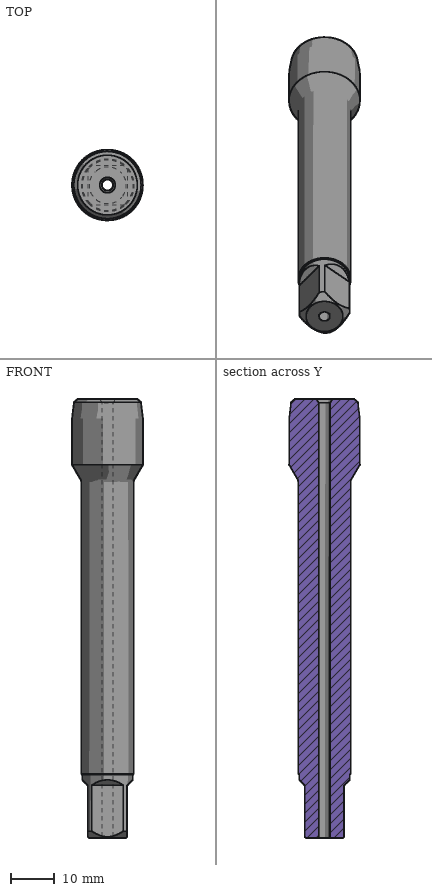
import cadquery as cq
import math

total_length = 100.0
head_diameter = 16.19
shaft_diameter = 12.0

top_face_diameter = 13.6
top_bevel_height = 0.7
taper_top_diameter = 15.3
taper_depth = 4.4
barrel_bottom_depth = 15.0
neck_depth = 18.6
neck_fillet = 1.0

drive_width = 9.0
drive_corner_diameter = 11.52
drive_flat_count = 4
drive_flat_length = 12.0
corner_round_height = 14.4
shoulder_angle = 45.0
tip_diameter = 8.4
tip_chamfer_angle = 45.0

bore_diameter = 2.5
countersink_diameter = 3.55
countersink_angle = 60.0

head_radius = head_diameter / 2
shaft_radius = shaft_diameter / 2
corner_radius = drive_corner_diameter / 2
tip_radius = tip_diameter / 2


def turned_body():
    """Head, shaft and drive blank as one revolved profile of (radius, height) points."""
    tip_chamfer_height = (corner_radius - tip_radius) / math.tan(math.radians(tip_chamfer_angle))
    shaft_bottom = corner_round_height + shaft_radius - corner_radius
    profile = (
        cq.Workplane("XZ")
        .moveTo(0, 0)
        .lineTo(tip_radius, 0)
        .lineTo(corner_radius, tip_chamfer_height)
        .lineTo(corner_radius, corner_round_height)
        .lineTo(shaft_radius, shaft_bottom)
        .lineTo(shaft_radius, total_length - neck_depth)
        .lineTo(head_radius, total_length - barrel_bottom_depth)
        .lineTo(head_radius, total_length - taper_depth)
        .lineTo(taper_top_diameter / 2, total_length - top_bevel_height)
        .lineTo(top_face_diameter / 2, total_length)
        .lineTo(0, total_length)
        .close()
    )
    body = profile.revolve(360, (0, 0, 0), (0, 1, 0))
    neck_edge = cq.selectors.BoxSelector(
        (-head_radius, -head_radius, total_length - neck_depth - neck_fillet / 2),
        (head_radius, head_radius, total_length - neck_depth + neck_fillet / 2),
    )
    return body.edges(neck_edge).edges("%CIRCLE").fillet(neck_fillet)


def flat_cutter():
    """Material removed on the +X side: a flat with a sloped shoulder above it."""
    half_width = drive_width / 2
    reach = shaft_diameter - half_width
    shoulder_rise = reach * math.tan(math.radians(shoulder_angle))
    return (
        cq.Workplane("XZ")
        .moveTo(half_width, 0)
        .lineTo(half_width + reach, 0)
        .lineTo(half_width + reach, drive_flat_length + shoulder_rise)
        .lineTo(half_width, drive_flat_length)
        .close()
        .extrude(shaft_radius, both=True)
    )


def cut_square_drive(body):
    """Cut the four flats that form the square drive."""
    for quarter in range(drive_flat_count):
        body = body.cut(flat_cutter().rotate((0, 0, 0), (0, 0, 1), quarter * 360 / drive_flat_count))
    return body


def cut_bore(body):
    """Through bore, countersunk in the top face."""
    return (
        body.faces(">Z")
        .workplane(origin=(0, 0, total_length))
        .cskHole(bore_diameter, countersink_diameter, countersink_angle)
    )


result = cut_bore(cut_square_drive(turned_body()))